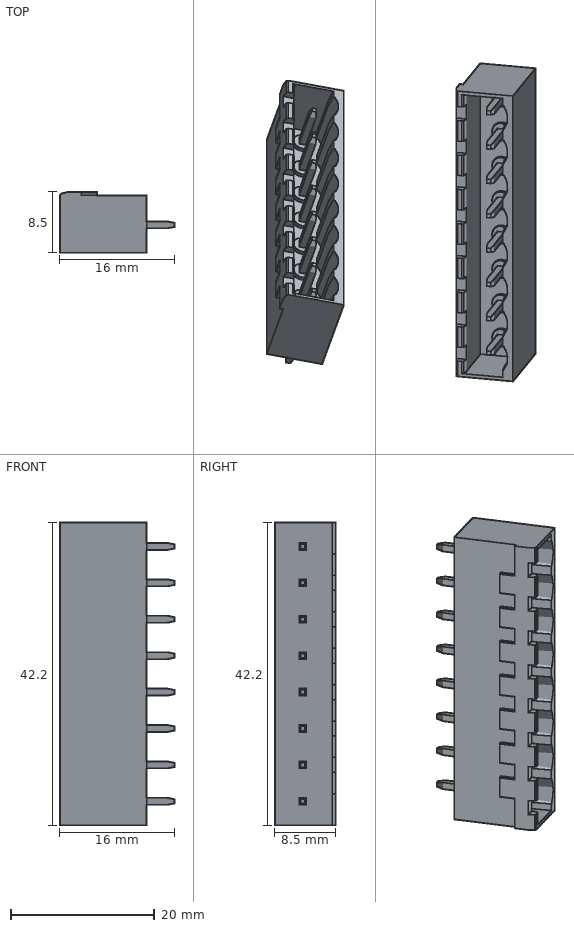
import cadquery as cq

pin_count = 8
pin_pitch = 5.08
pin_width = 1.0
pin_tip_width = 0.6
pin_tip_length = 1.0
pin_front_x = 1.5
pin_back_x = 16.0
pin_y = -4.6
collar_diameter = 2.6
collar_height = 0.5

housing_depth = 12.1
housing_height = 42.24
housing_bottom_y = -8.5
rail_thickness = 0.5
rail_length = 3.0
rail_taper_width = 0.25
rib_end_x = 5.2
rib_chamfer = 0.1

notch_width = 2.08
notch_depth = 1.0

bevel_depth = 0.15
bevel_width = 0.25

cavity_depth = 8.5
mouth_depth = 2.0
flat_flare = 0.25
scallop_flare = 0.2
end_wall = 0.5
end_flare = 0.02
keyed_wall = 1.5
well_flat_y = -6.75
well_scallop_y = -7.5
scallop_width = 3.74
lead_in_taper_width = 0.12

half_height = housing_height / 2
pin_heights = [(i - (pin_count - 1) / 2) * pin_pitch for i in range(pin_count)]


def box(x_range, y_range, z_range):
    """Axis-aligned block between pairs of limits."""
    sizes = [high - low for low, high in (x_range, y_range, z_range)]
    corner = cq.Vector(x_range[0], y_range[0], z_range[0])
    return cq.Workplane("XY").box(*sizes, centered=False).translate(corner)


def make_shell():
    """Housing block with the tapered, bevelled rail along its keyed wall."""
    return (
        cq.Workplane("XY", origin=(0, 0, -half_height))
        .moveTo(0, housing_bottom_y)
        .lineTo(housing_depth, housing_bottom_y)
        .lineTo(housing_depth, -rail_thickness)
        .lineTo(rail_length, -rail_thickness)
        .lineTo(rail_length, 0)
        .lineTo(notch_depth, 0)
        .lineTo(bevel_depth, -rail_taper_width)
        .lineTo(0, -rail_taper_width - bevel_width)
        .close()
        .extrude(housing_height)
    )


def make_ribs():
    """Ribs that prolong the rail between neighbouring notches."""
    rib_width = pin_pitch - notch_width
    ribs = cq.Workplane("XY")
    for height in pin_heights[:-1]:
        start = height + notch_width / 2
        rib = box((rail_length, rib_end_x), (-rail_thickness, 0), (start, start + rib_width))
        ribs = ribs.union(rib.edges(">Y and |X").chamfer(rib_chamfer))
    return ribs


def cavity_section(x, flare):
    """Cavity outline at depth x, opened out by a share of the mouth flare (1 at the front, 0 in the well)."""
    half_length = half_height - end_wall - end_flare * (1 - flare)
    flat_y = well_flat_y - flat_flare * flare
    scallop_y = well_scallop_y - scallop_flare * flare
    outline = (
        cq.Workplane("YZ", origin=(x, 0, 0))
        .moveTo(-keyed_wall, -half_length)
        .lineTo(flat_y, -half_length)
    )
    for height in pin_heights:
        outline = (
            outline.lineTo(flat_y, height - scallop_width / 2)
            .threePointArc((scallop_y, height), (flat_y, height + scallop_width / 2))
        )
    return outline.lineTo(flat_y, half_length).lineTo(-keyed_wall, half_length).close()


def make_cavity():
    """Flared mouth, straight well and the bevelled, tapered lead-in on the keyed wall."""
    front_wire = cavity_section(0, 1).wire().val()
    well_section = cavity_section(mouth_depth, 0)
    mouth = cq.Workplane(cq.Solid.makeLoft([front_wire, well_section.wire().val()], True))
    well = well_section.extrude(cavity_depth - mouth_depth)

    taper_start_y = lead_in_taper_width - keyed_wall
    lead_in = (
        cq.Workplane("XY", origin=(0, 0, end_wall - half_height))
        .moveTo(0, -keyed_wall)
        .lineTo(0, taper_start_y + bevel_width)
        .lineTo(bevel_depth, taper_start_y)
        .lineTo(notch_depth, -keyed_wall)
        .close()
        .extrude(housing_height - 2 * end_wall)
    )
    return mouth.union(well).union(lead_in)


def make_notch(height):
    """Opening through the front edge of the keyed wall, level with one pin."""
    half_width = notch_width / 2
    return box((0, notch_depth), (-keyed_wall, 0), (height - half_width, height + half_width))


def make_contact(height):
    """Square pin tapered at both ends, standing in a round collar on the cavity floor."""
    shank_start = pin_front_x + pin_tip_length
    shank_end = pin_back_x - pin_tip_length
    axis_start = cq.Workplane("YZ", origin=(0, pin_y, height))

    shank = (
        axis_start.workplane(offset=shank_start)
        .rect(pin_width, pin_width)
        .extrude(shank_end - shank_start)
    )
    front_tip = (
        axis_start.workplane(offset=pin_front_x)
        .rect(pin_tip_width, pin_tip_width)
        .workplane(offset=pin_tip_length)
        .rect(pin_width, pin_width)
        .loft()
    )
    back_tip = (
        axis_start.workplane(offset=shank_end)
        .rect(pin_width, pin_width)
        .workplane(offset=pin_tip_length)
        .rect(pin_tip_width, pin_tip_width)
        .loft()
    )
    collar = (
        axis_start.workplane(offset=cavity_depth - collar_height)
        .circle(collar_diameter / 2)
        .extrude(collar_height)
    )
    return shank.union(front_tip).union(back_tip).union(collar)


result = make_shell().union(make_ribs()).cut(make_cavity())
for pin_height in pin_heights:
    result = result.cut(make_notch(pin_height))
    result = result.union(make_contact(pin_height))